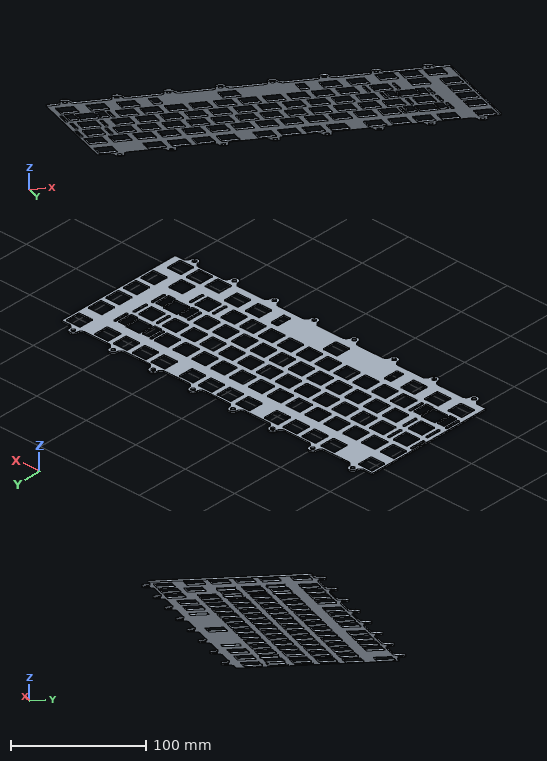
import cadquery as cq
import math

unit = 19.05
plate_units_wide = 16.5
plate_units_high = 6.5
plate_width = plate_units_wide * unit
plate_height = plate_units_high * unit
plate_thickness = 1.5
plate_corner_radius = 0.5

tabs_per_edge = 8
first_tab_margin = 16.075
tab_pitch = 40.345
tab_hole_offset = 4.0
tab_radius = 4.0
tab_reach = tab_hole_offset + tab_radius
tab_hole_diameter = 3.4
tab_foot_radius = 4.0
tab_root_overlap = 1.0

switch_size = 14.0
opening_corner_radius = 0.5
stabilizer_width = 6.75
stabilizer_height = switch_size
stabilizer_drop = 1.0
short_stabilizer_offset = 11.938
spacebar_stabilizer_offset = 3 * unit
slot_width = 2.0
slot_height = switch_size
narrow_slot_offset = 11.65
wide_slot_offset = 18.25

function_row = 0.5
number_row = 1.75
upper_row = 2.75
home_row = 3.75
lower_row = 4.75
bottom_row = 5.75
up_arrow_row = 5.0
arrow_row = 6.0

backspace = 14.0
tab_key = 0.75
backslash = 14.25
caps_lock = 0.875
enter = 13.875
left_shift = 1.125
right_shift = 13.125
spacebar = 7.25
up_arrow = 14.75
side_column = 16.0


def run(first, count):
    """Centres of neighbouring one-unit keys."""
    return [first + i for i in range(count)]


keys_by_row = {
    function_row: [0.5] + run(2.5, 4) + run(7.0, 4) + run(11.5, 4) + [side_column],
    number_row: run(0.5, 13) + [backspace, side_column],
    upper_row: [tab_key] + run(2.0, 12) + [backslash, side_column],
    home_row: [caps_lock] + run(2.25, 11) + [enter, side_column],
    lower_row: [left_shift] + run(2.75, 10) + [right_shift, side_column],
    bottom_row: [0.625, 1.875, 3.125, spacebar, 11.375, 12.5],
    up_arrow_row: [up_arrow],
    arrow_row: run(up_arrow - 1, 3),
}
stabilized_keys = [(backspace, number_row), (enter, home_row), (left_shift, lower_row)]
slotted_keys = [
    (tab_key, upper_row),
    (backslash, upper_row),
    (caps_lock, home_row),
    (right_shift, lower_row),
]


def place(column, row):
    """Position in the plate, centred on the origin, of a key given in units."""
    return (column * unit - plate_width / 2, plate_height / 2 - row * unit)


def beside(keys, offset, drop=0.0):
    """Points to the left and right of each key, optionally below its centre."""
    points = []
    for column, row in keys:
        x, y = place(column, row)
        points += [(x - offset, y - drop), (x + offset, y - drop)]
    return points


def opening_cutter(points, width, height, corner_radius):
    """Rounded rectangular cutters through the plate."""
    cutters = cq.Workplane("XY").pushPoints(points).rect(width, height).extrude(plate_thickness)
    return cutters.edges("|Z").fillet(corner_radius)


def tab(x, side):
    """Tab whose round end runs tangent into concave feet, on the upper (+1) or lower (-1) edge."""
    edge = side * plate_height / 2
    centre = tab_hole_offset
    centre_distance = tab_radius + tab_foot_radius
    foot_x = math.sqrt(centre_distance**2 - (tab_foot_radius - centre) ** 2)
    touch_x = foot_x * tab_radius / centre_distance
    touch_y = centre + (tab_foot_radius - centre) * tab_radius / centre_distance
    touch_angle = math.atan2(tab_foot_radius - touch_y, foot_x - touch_x)
    middle_angle = (touch_angle + math.pi / 2) / 2
    middle_x = foot_x - tab_foot_radius * math.cos(middle_angle)
    middle_y = tab_foot_radius * (1 - math.sin(middle_angle))

    def at(across, outward):
        return (x + across, edge + side * outward)

    return (
        cq.Workplane("XY")
        .moveTo(*at(-foot_x, -tab_root_overlap))
        .lineTo(*at(-foot_x, 0))
        .threePointArc(at(-middle_x, middle_y), at(-touch_x, touch_y))
        .threePointArc(at(0, tab_reach), at(touch_x, touch_y))
        .threePointArc(at(middle_x, middle_y), at(foot_x, 0))
        .lineTo(*at(foot_x, -tab_root_overlap))
        .close()
        .extrude(plate_thickness)
    )


def blank():
    """Plate with its mounting tabs and their screw holes."""
    body = cq.Workplane("XY").rect(plate_width, plate_height).extrude(plate_thickness)
    body = body.edges("|Z").fillet(plate_corner_radius)
    hole_points = []
    for side in (1, -1):
        for i in range(tabs_per_edge):
            x = -plate_width / 2 + first_tab_margin + i * tab_pitch
            body = body.union(tab(x, side))
            hole_points.append((x, side * (plate_height / 2 + tab_hole_offset)))
    holes = cq.Workplane("XY").pushPoints(hole_points).circle(tab_hole_diameter / 2)
    return body.cut(holes.extrude(plate_thickness))


switch_points = [place(column, row) for row, columns in keys_by_row.items() for column in columns]
stabilizer_points = beside(stabilized_keys, short_stabilizer_offset, stabilizer_drop)
stabilizer_points += beside([(spacebar, bottom_row)], spacebar_stabilizer_offset, stabilizer_drop)
slot_points = beside(stabilized_keys, wide_slot_offset) + beside(slotted_keys, narrow_slot_offset)

result = (
    blank()
    .cut(opening_cutter(switch_points, switch_size, switch_size, opening_corner_radius))
    .cut(opening_cutter(stabilizer_points, stabilizer_width, stabilizer_height, opening_corner_radius))
    .cut(opening_cutter(slot_points, slot_width, slot_height, opening_corner_radius))
)